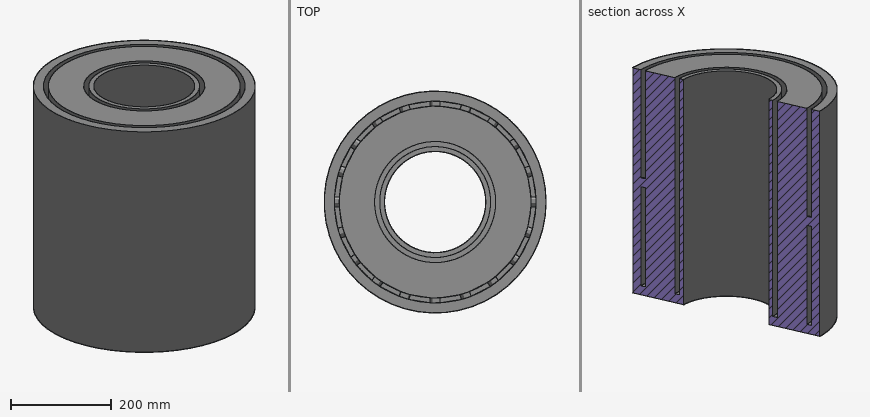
import cadquery as cq

height = 480.0
outer_diameter = 440.0
bore_diameter = 200.0

outer_channel_outer_diameter = 400.0
outer_channel_inner_diameter = 380.0
inner_channel_outer_diameter = 240.0
inner_channel_inner_diameter = 220.0
floor_thickness = (outer_diameter - outer_channel_outer_diameter) / 2

pin_count = 20
pin_diameter = 20.0
pin_height = height / 2
pin_embed = 5.0


def ring(outside, inside, bottom, top):
    """Upright ring between two diameters and two levels."""
    return (
        cq.Workplane("XY")
        .workplane(offset=bottom)
        .circle(outside / 2)
        .circle(inside / 2)
        .extrude(top - bottom)
    )


def radial_pin(angle):
    """Horizontal pin crossing the outer channel at the given angle about Z."""
    start = outer_channel_inner_diameter / 2 - pin_embed
    end = outer_channel_outer_diameter / 2 + pin_embed
    return (
        cq.Workplane("YZ")
        .workplane(offset=start)
        .center(0, pin_height)
        .circle(pin_diameter / 2)
        .extrude(end - start)
        .rotate((0, 0, 0), (0, 0, 1), angle)
    )


body = ring(outer_diameter, bore_diameter, 0, height)
body = body.cut(ring(outer_channel_outer_diameter, outer_channel_inner_diameter, floor_thickness, height))
body = body.cut(ring(inner_channel_outer_diameter, inner_channel_inner_diameter, floor_thickness, height))

for index in range(pin_count):
    body = body.union(radial_pin(index * 360 / pin_count))

result = body